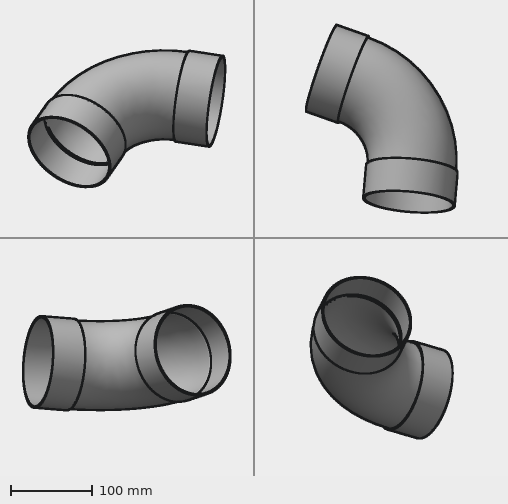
import cadquery as cq
import math

pipe_diameter = 110.0
wall = 1.8
bend_angle = 75.0
bend_radius = pipe_diameter
socket_depth = 40.0

pipe_bore = pipe_diameter - 2 * wall
socket_bore = pipe_diameter
socket_diameter = socket_bore + 2 * wall
shoulder_round = wall
socket_length = socket_depth + shoulder_round

turn = math.radians(bend_angle)
inlet_direction = cq.Vector(0, 1, 0)
outlet_direction = cq.Vector(math.sin(turn), math.cos(turn), 0)
bend_normal = cq.Vector(0, 0, 1)
bend_start = inlet_direction * socket_length
bend_end = bend_start + cq.Vector(1 - math.cos(turn), math.sin(turn), 0) * bend_radius


def bent_rod(diameter):
    """Solid round rod that follows the bend from one socket to the other."""
    section = cq.Plane(origin=bend_start, xDir=(1, 0, 0), normal=inlet_direction)
    axis_start = (bend_radius, 0)
    axis_end = (bend_radius, 1)
    return cq.Workplane(section).circle(diameter / 2).revolve(bend_angle, axis_start, axis_end)


def socket(bend_face, outward):
    """Ring turned about the outward direction, with a round shoulder that blends into the bend's bore."""
    across = outward.cross(bend_normal)
    half_section = cq.Plane(origin=bend_face, xDir=across, normal=bend_normal)
    inner_radius = socket_bore / 2
    outer_radius = socket_diameter / 2
    shoulder_offset = shoulder_round * math.sqrt(0.5)
    return (
        cq.Workplane(half_section)
        .moveTo(pipe_bore / 2, 0)
        .threePointArc((inner_radius - shoulder_offset, shoulder_offset), (inner_radius, shoulder_round))
        .lineTo(inner_radius, socket_length)
        .lineTo(outer_radius, socket_length)
        .lineTo(outer_radius, 0)
        .close()
        .revolve(360, (0, 0), (0, 1))
    )


elbow = bent_rod(pipe_diameter).cut(bent_rod(pipe_bore))
inlet_socket = socket(bend_start, -inlet_direction)
outlet_socket = socket(bend_end, outlet_direction)

result = elbow.union(inlet_socket).union(outlet_socket)